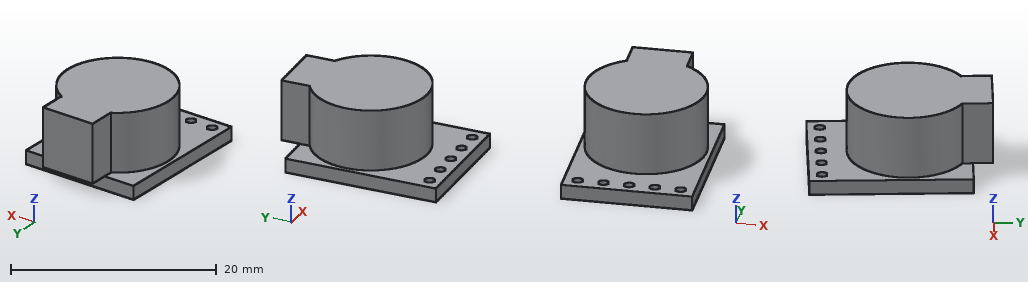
import cadquery as cq

board_width = 13.0
board_length = 16.0
board_thickness = 1.5

overall_length = 17.95
overall_height = 8.0
housing_diameter = 11.99
housing_center_y = 9.76
housing_height = overall_height - board_thickness
spout_width = 6.0
spout_length = overall_length - housing_center_y

hole_count = 5
hole_diameter = 1.0
hole_pitch = 2.55
hole_edge_distance = 1.27


def make_board():
    board = cq.Workplane("XY").box(
        board_width, board_length, board_thickness, centered=(True, False, False)
    )
    holes = (
        cq.Workplane("XY")
        .center(0, hole_edge_distance)
        .rarray(hole_pitch, 0.18, hole_count, 1)
        .circle(hole_diameter / 2)
        .extrude(board_thickness)
    )
    return board.cut(holes)


def make_housing():
    base = cq.Workplane("XY", origin=(0, housing_center_y, board_thickness))
    drum = base.circle(housing_diameter / 2).extrude(housing_height)
    spout = base.box(
        spout_width, spout_length, housing_height, centered=(True, False, False)
    )
    return drum.union(spout)


result = make_board().union(make_housing())